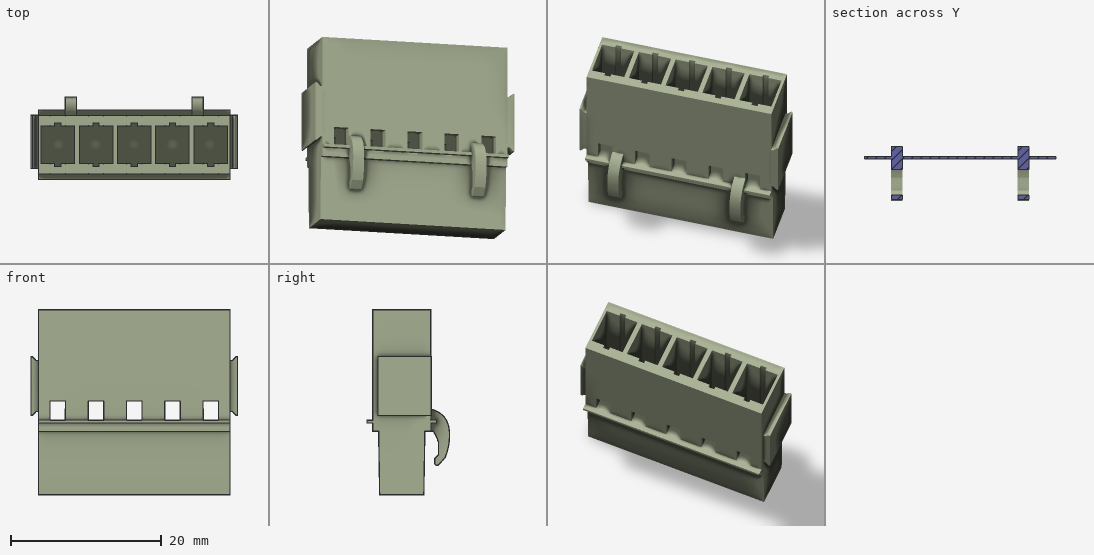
import cadquery as cq

body_width = 25.45
body_depth = 7.7
total_height = 24.55
step_height = 8.4
plug_depth_top = 6.16
plug_depth_bottom = 5.9

flange_depth = 9.25
flange_bottom = 9.5
flange_top = 9.9

chamber_count = 5
chamber_pitch = 5.07
chamber_width = 4.45
chamber_depth = 5.0
keyway_width = 0.82
keyway_reach = 0.4
window_width = 2.03
window_top = 12.4

overall_width = 27.4
wing_bottom = 10.52
wing_top = 18.33
wing_front = -3.18
wing_back = 3.95
wing_lip = 0.22
wing_neck = 0.3
wing_bevel_height = 0.5

hook_spacing = 16.82
hook_width = 1.5
hook_root_top = 11.37

hook_shoulder = (5.48, 10.5)
hook_farthest = (6.35, 7.95)
hook_outer_middle = (6.22, 6.45)
hook_outer_end = (5.78, 4.95)
hook_tip_outer = (4.9, 3.97)
hook_tip_middle = (4.58, 3.92)
hook_tip_inner = (4.35, 4.22)
hook_catch_top = (4.35, 4.8)
hook_throat_bottom = (4.85, 5.32)
hook_throat_top = (4.85, 7.01)
hook_throat_middle = (4.63, 7.62)
hook_throat_end = (4.2, step_height)

hook_root_direction = (1, -0.25)
hook_farthest_direction = (0, -1)

chamber_centers = [(i - (chamber_count - 1) / 2) * chamber_pitch for i in range(chamber_count)]


def make_box(x_size, y_size, bottom, top, x_center=0.0):
    """Box centred on Y = 0 between two heights."""
    return (
        cq.Workplane("XY", origin=(x_center, 0, bottom))
        .rect(x_size, y_size)
        .extrude(top - bottom)
    )


def make_housing():
    plug = (
        cq.Workplane("YZ")
        .moveTo(-plug_depth_bottom / 2, 0)
        .lineTo(plug_depth_bottom / 2, 0)
        .lineTo(plug_depth_top / 2, step_height)
        .lineTo(-plug_depth_top / 2, step_height)
        .close()
        .extrude(body_width / 2, both=True)
    )
    block = make_box(body_width, body_depth, step_height, total_height)
    flange = make_box(body_width, flange_depth, flange_bottom, flange_top)
    return plug.union(block).union(flange)


def make_chamber(x_center):
    """Chamber with two keyways, open at the top, and the window through both walls at its floor."""
    pocket = make_box(chamber_width, chamber_depth, flange_top, total_height, x_center)
    keyways = make_box(
        keyway_width, chamber_depth + 2 * keyway_reach, flange_top, total_height, x_center
    )
    window = make_box(window_width, flange_depth, flange_top, window_top, x_center)
    return pocket.union(keyways).union(window)


def make_wing():
    """Wing on the +X end: a neck that flares through bevels to a thin lip."""
    root = body_width / 2
    outer = overall_width / 2
    neck_top = wing_top - wing_bevel_height
    neck_bottom = wing_bottom + wing_bevel_height
    return (
        cq.Workplane("XZ", origin=(0, wing_back, 0))
        .moveTo(root, neck_bottom)
        .lineTo(root + wing_neck, neck_bottom)
        .lineTo(outer - wing_lip, wing_bottom)
        .lineTo(outer, wing_bottom)
        .lineTo(outer, wing_top)
        .lineTo(outer - wing_lip, wing_top)
        .lineTo(root + wing_neck, neck_top)
        .lineTo(root, neck_top)
        .close()
        .extrude(wing_back - wing_front)
    )


def make_hook(x_center):
    """Hook that curls out of the back wall and down to a rounded tip."""
    wall = body_depth / 2
    return (
        cq.Workplane("YZ", origin=(x_center - hook_width / 2, 0, 0))
        .moveTo(wall, hook_root_top)
        .spline(
            [hook_shoulder, hook_farthest],
            tangents=[hook_root_direction, hook_farthest_direction],
            includeCurrent=True,
        )
        .threePointArc(hook_outer_middle, hook_outer_end)
        .lineTo(*hook_tip_outer)
        .threePointArc(hook_tip_middle, hook_tip_inner)
        .lineTo(*hook_catch_top)
        .lineTo(*hook_throat_bottom)
        .lineTo(*hook_throat_top)
        .threePointArc(hook_throat_middle, hook_throat_end)
        .lineTo(wall, step_height)
        .close()
        .extrude(hook_width)
    )


result = make_housing()

for x in chamber_centers:
    result = result.cut(make_chamber(x))

wing = make_wing()
result = result.union(wing).union(wing.mirror("YZ"))

for side in (-1, 1):
    result = result.union(make_hook(side * hook_spacing / 2))